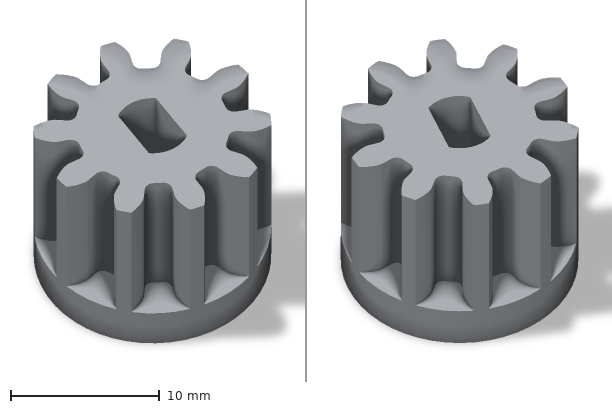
import cadquery as cq
import math

outer_diameter = 16.0
total_height = 13.0
flange_height = 3.0

tooth_count = 10
root_radius = 5.2
root_fillet = 0.6
base_radius = 6.56
tip_half_angle = math.radians(3.7)
cutter_overlap = 1.28

bore_diameter = 5.0
bore_across_flats = 3.0
bore_flat_angle = -26.4

outer_radius = outer_diameter / 2
tooth_height = total_height - flange_height

tip_roll = math.sqrt((outer_radius / base_radius) ** 2 - 1)
gap_half_angle_at_tip = math.pi / tooth_count - tip_half_angle
gap_half_angle_at_base = gap_half_angle_at_tip - (tip_roll - math.atan(tip_roll))


def gap_point(radius, angle_from_centre):
    """Point of a tooth gap that is centred on the +Y axis."""
    return radius * math.sin(angle_from_centre), radius * math.cos(angle_from_centre)


def flank_point(roll):
    """Point of the involute flank on the +X side of the gap."""
    radius = base_radius * math.sqrt(1 + roll**2)
    return gap_point(radius, gap_half_angle_at_base + roll - math.atan(roll))


def mirrored(point):
    """Same point on the -X side of the gap."""
    return -point[0], point[1]


def make_gap_cutter():
    """Gap with a round root, radial walls up to the base circle and involute flanks."""
    flank_steps = 8
    flank = [flank_point(tip_roll * step / flank_steps) for step in range(flank_steps + 1)]
    opposite_flank = [mirrored(point) for point in reversed(flank)]
    root_corner = gap_point(root_radius, gap_half_angle_at_base)
    beyond_tip = gap_point(outer_radius + cutter_overlap, gap_half_angle_at_tip)
    return (
        cq.Workplane("XY", origin=(0, 0, flange_height))
        .moveTo(*mirrored(root_corner))
        .threePointArc((0, root_radius), root_corner)
        .lineTo(*flank[0])
        .spline(flank[1:], includeCurrent=True)
        .lineTo(*beyond_tip)
        .lineTo(*mirrored(beyond_tip))
        .lineTo(*opposite_flank[0])
        .spline(opposite_flank[1:], includeCurrent=True)
        .close()
        .extrude(tooth_height)
        .edges("|Z")
        .edges("<Y")
        .fillet(root_fillet)
    )


def make_bore_cutter():
    """Round bore narrowed by two parallel flats."""
    round_bore = cq.Workplane("XY").circle(bore_diameter / 2).extrude(total_height)
    flats = cq.Workplane("XY").rect(bore_diameter, bore_across_flats).extrude(total_height)
    return round_bore.intersect(flats).rotate((0, 0, 0), (0, 0, 1), bore_flat_angle)


result = cq.Workplane("XY").circle(outer_radius).extrude(total_height)

gap_cutter = make_gap_cutter()
for gap_index in range(tooth_count):
    gap_angle = gap_index * 360 / tooth_count
    result = result.cut(gap_cutter.rotate((0, 0, 0), (0, 0, 1), gap_angle))

result = result.cut(make_bore_cutter())